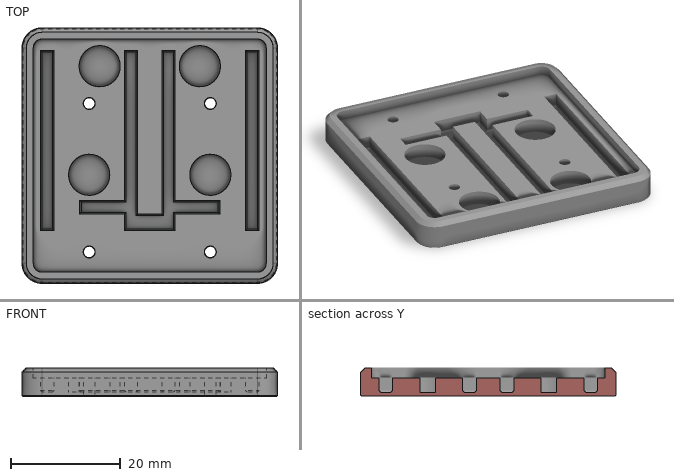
import cadquery as cq

side = 46.5
height = 5.2
corner_radius = 3.67
top_chamfer = 0.8
bottom_chamfer = 0.2

rim_width = 2.05
tray_depth = 1.8
tray_side = side - 2 * rim_width
tray_corner_radius = corner_radius - rim_width
tray_floor = height - tray_depth

pocket_depth = 2.6
pocket_floor = tray_floor - pocket_depth
floor_chamfer = 0.3

groove_width = 2.4
groove_top = 19.1
groove_bottom = -13.65
side_groove_x = 18.65
fork_half_width = 4.6
tine_inner_x = fork_half_width - groove_width
crossbar_half_length = 12.75
crossbar_top = -8.2
crossbar_bottom = crossbar_top - groove_width

hole_column_x = 11.0
round_pocket_diameter = 7.5
round_pocket_places = [(9.1, 16.28), (hole_column_x, -3.5)]
screw_hole_diameter = 2.1
screw_hole_places = [(hole_column_x, 9.5), (hole_column_x, -17.55)]


def mirrored(places):
    """Return the places together with their mirror images in X."""
    return [(sign * x, y) for x, y in places for sign in (-1, 1)]


def make_plate():
    plate = cq.Workplane("XY").rect(side, side).extrude(height)
    plate = plate.edges("|Z").fillet(corner_radius)
    plate = plate.faces(">Z").chamfer(top_chamfer)
    return plate.faces("<Z").chamfer(bottom_chamfer)


def make_tray():
    base = cq.Workplane("XY").workplane(offset=tray_floor)
    tray = base.rect(tray_side, tray_side).extrude(tray_depth)
    return tray.edges("|Z").fillet(tray_corner_radius)


def make_groove(outline):
    """Sink a closed outline into the tray floor, with a chamfer around the groove's bottom."""
    groove = outline.extrude(pocket_depth)
    return groove.faces("<Z").chamfer(floor_chamfer)


def make_side_groove(center_x):
    center_y = (groove_top + groove_bottom) / 2
    outline = cq.Workplane("XY").workplane(offset=pocket_floor).center(center_x, center_y)
    return make_groove(outline.rect(groove_width, groove_top - groove_bottom))


def make_fork_groove():
    right_half = [
        (tine_inner_x, crossbar_bottom),
        (tine_inner_x, groove_top),
        (fork_half_width, groove_top),
        (fork_half_width, crossbar_top),
        (crossbar_half_length, crossbar_top),
        (crossbar_half_length, crossbar_bottom),
        (fork_half_width, crossbar_bottom),
        (fork_half_width, groove_bottom),
    ]
    left_half = [(-x, y) for x, y in reversed(right_half)]
    outline = cq.Workplane("XY").workplane(offset=pocket_floor).polyline(right_half + left_half).close()
    return make_groove(outline)


def make_cylinders(places, diameter, bottom):
    base = cq.Workplane("XY").workplane(offset=bottom).pushPoints(mirrored(places))
    return base.circle(diameter / 2).extrude(tray_floor - bottom)


result = make_plate().cut(make_tray())
for groove_x in (-side_groove_x, side_groove_x):
    result = result.cut(make_side_groove(groove_x))
result = result.cut(make_fork_groove())
result = result.cut(make_cylinders(round_pocket_places, round_pocket_diameter, pocket_floor))
result = result.cut(make_cylinders(screw_hole_places, screw_hole_diameter, 0))